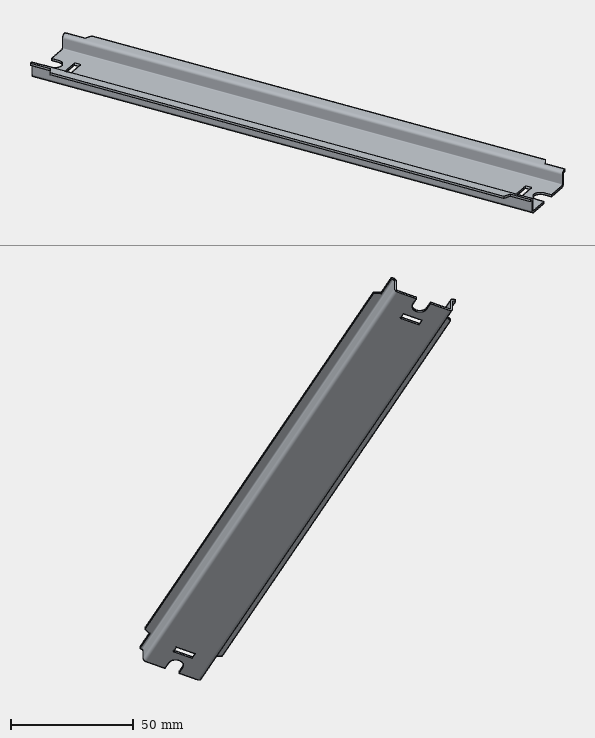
import cadquery as cq

length = 233.0
width = 35.0
height = 7.5
sheet = 1.0

channel_width = 26.3
base_inner_radius = 0.5
lip_inner_radius = 0.7
base_outer_radius = base_inner_radius + sheet
lip_outer_radius = lip_inner_radius + sheet

end_width = 29.1
lip_setback = 10.7
step_run = 1.5

notch_width = 6.3
notch_depth = 6.5
notch_radius = notch_width / 2

slot_length = 2.8
slot_top_width = 9.0
slot_bottom_width = 8.5
slot_center = length / 2 - 11.5


def make_hat_section():
    """Folded sheet running along X, with the base on Z = 0."""
    outer = channel_width / 2
    inner = outer - sheet
    edge = width / 2
    lip_underside = height - sheet
    section = (
        cq.Workplane("YZ")
        .moveTo(-edge, height)
        .lineTo(-inner, height)
        .lineTo(-inner, sheet)
        .lineTo(inner, sheet)
        .lineTo(inner, height)
        .lineTo(edge, height)
        .lineTo(edge, lip_underside)
        .lineTo(outer, lip_underside)
        .lineTo(outer, 0)
        .lineTo(-outer, 0)
        .lineTo(-outer, lip_underside)
        .lineTo(-edge, lip_underside)
        .close()
        .extrude(length / 2, both=True)
    )
    bends = [
        (inner, height, lip_outer_radius),
        (outer, lip_underside, lip_inner_radius),
        (inner, sheet, base_inner_radius),
        (outer, 0, base_outer_radius),
    ]
    for y, z, radius in bends:
        for side in (-1, 1):
            bend_edge = cq.selectors.NearestToPointSelector((0, side * y, z))
            section = section.edges(bend_edge).fillet(radius)
    return section


def make_plan():
    """Outline seen along Z: full width in the middle, narrower at the ends."""
    end_x = length / 2
    step_x = end_x - lip_setback
    half = [
        (end_x, end_width / 2),
        (step_x + step_run, end_width / 2),
        (step_x, width / 2),
        (-step_x, width / 2),
        (-step_x - step_run, end_width / 2),
        (-end_x, end_width / 2),
    ]
    mirrored = [(x, -y) for x, y in reversed(half)]
    return cq.Workplane("XY").polyline(half + mirrored).close().extrude(height)


def make_notch(side):
    """Round-bottomed notch open at the end of the rail."""
    end_x = side * length / 2
    arc_x = end_x - side * (notch_depth - notch_radius)
    bottom_x = end_x - side * notch_depth
    return (
        cq.Workplane("XY")
        .moveTo(end_x, notch_radius)
        .lineTo(arc_x, notch_radius)
        .threePointArc((bottom_x, 0), (arc_x, -notch_radius))
        .lineTo(end_x, -notch_radius)
        .close()
        .extrude(height)
    )


def make_slot(side):
    """Slot through the base, shorter across at the underside than at the top."""
    slot = (
        cq.Workplane("YZ")
        .moveTo(-slot_bottom_width / 2, 0)
        .lineTo(slot_bottom_width / 2, 0)
        .lineTo(slot_top_width / 2, sheet)
        .lineTo(-slot_top_width / 2, sheet)
        .close()
        .extrude(slot_length / 2, both=True)
    )
    return slot.translate((side * slot_center, 0, 0))


result = make_hat_section().intersect(make_plan())
for end in (-1, 1):
    result = result.cut(make_notch(end)).cut(make_slot(end))